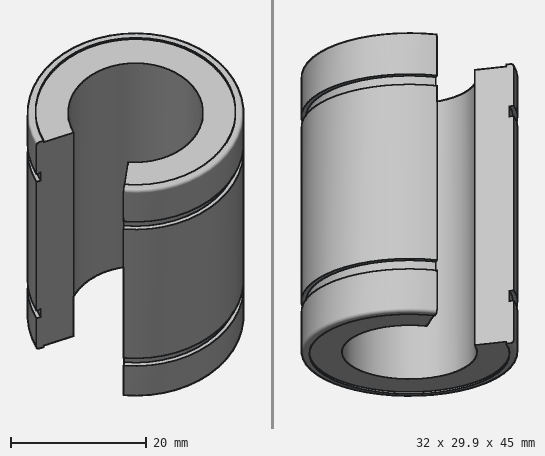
import cadquery as cq
import math

length = 45.0
outer_diameter = 32.0
bore_diameter = 20.0
outer_radius = outer_diameter / 2
bore_radius = bore_diameter / 2

edge_radius = 0.5
rim_inner_radius = 14.8
recess_depth = 0.3

groove_offset = 6.8
groove_width = 1.65
groove_depth = 0.68

opening_angle = 60.0


def make_sleeve():
    """Solid cylinder with rounded outer end edges and a through bore."""
    body = cq.Workplane("XY").circle(outer_radius).extrude(length)
    body = body.edges("%CIRCLE").fillet(edge_radius)
    bore = cq.Workplane("XY").circle(bore_radius).extrude(length)
    return body.cut(bore)


def make_end_recess(base_z):
    """Shallow disc that sinks an end face inside its rim."""
    return cq.Workplane("XY").workplane(offset=base_z).circle(rim_inner_radius).extrude(recess_depth)


def make_groove(base_z):
    """Ring that cuts one groove around the outside."""
    return (
        cq.Workplane("XY")
        .workplane(offset=base_z)
        .circle(outer_radius)
        .circle(outer_radius - groove_depth)
        .extrude(groove_width)
    )


def make_opening():
    """Triangular prism with its apex on the sleeve axis."""
    reach = outer_diameter
    half_width = reach * math.tan(math.radians(opening_angle / 2))
    return (
        cq.Workplane("XY")
        .polyline([(0, 0), (-half_width, -reach), (half_width, -reach)])
        .close()
        .extrude(length)
    )


result = make_sleeve()
for recess_z in (0, length - recess_depth):
    result = result.cut(make_end_recess(recess_z))
for groove_z in (groove_offset, length - groove_offset - groove_width):
    result = result.cut(make_groove(groove_z))
result = result.cut(make_opening())